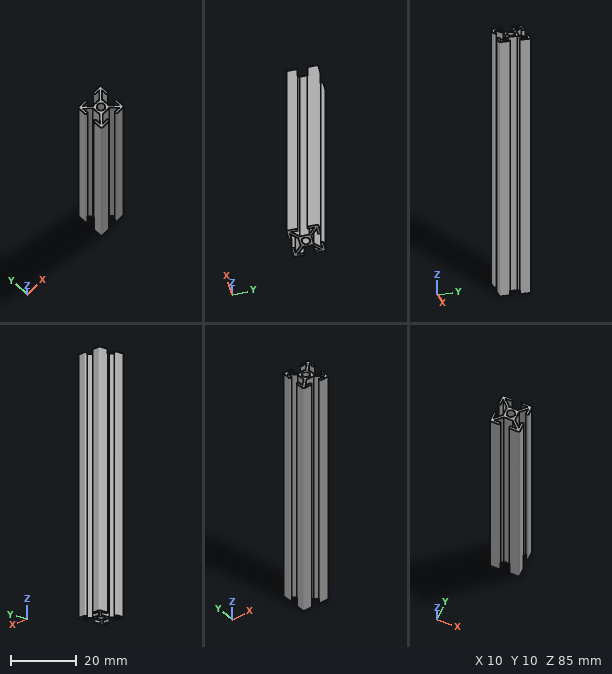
import cadquery as cq
import math

side = 10.0
length = 85.0
slot_opening = 3.15
lip_thickness = 0.85
core_side = 4.1
web_thickness = 0.85
bore_diameter = 2.5
corner_radius = 0.5
outer_mouth_radius = 0.3
inner_mouth_radius = 0.2

half_side = side / 2
half_opening = slot_opening / 2
half_core = core_side / 2
lip_inner = half_side - lip_thickness
web_offset = web_thickness / math.sqrt(2)


def slot(angle):
    """T-slot open on one side: rounded mouth, then a pocket tapering to the core."""
    pocket_half_width = lip_inner - web_offset
    floor_half_width = half_core - web_offset
    outer_mouth_edge = half_opening + outer_mouth_radius
    inner_mouth_edge = half_opening + inner_mouth_radius
    outer_round_end = half_side - outer_mouth_radius
    inner_round_end = lip_inner + inner_mouth_radius
    cutter = (
        cq.Workplane("XY")
        .moveTo(-outer_mouth_edge, half_side)
        .lineTo(outer_mouth_edge, half_side)
        .radiusArc((half_opening, outer_round_end), -outer_mouth_radius)
        .lineTo(half_opening, inner_round_end)
        .radiusArc((inner_mouth_edge, lip_inner), -inner_mouth_radius)
        .lineTo(pocket_half_width, lip_inner)
        .lineTo(floor_half_width, half_core)
        .lineTo(-floor_half_width, half_core)
        .lineTo(-pocket_half_width, lip_inner)
        .lineTo(-inner_mouth_edge, lip_inner)
        .radiusArc((-half_opening, inner_round_end), -inner_mouth_radius)
        .lineTo(-half_opening, outer_round_end)
        .radiusArc((-outer_mouth_edge, half_side), -outer_mouth_radius)
        .close()
        .extrude(length)
    )
    return cutter.rotate((0, 0, 0), (0, 0, 1), angle)


result = cq.Workplane("XY").rect(side, side).extrude(length)
result = result.edges("|Z").fillet(corner_radius)

for angle in (0, 90, 180, 270):
    result = result.cut(slot(angle))

bore = cq.Workplane("XY").circle(bore_diameter / 2).extrude(length)
result = result.cut(bore)